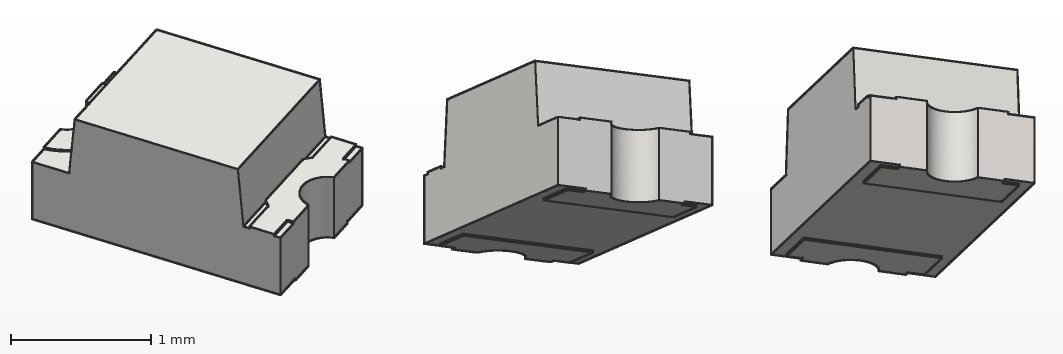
import cadquery as cq

length = 2.0
width = 1.25
height = 1.0
board_thickness = 0.5
pad_thickness = 0.015

notch_radius = 0.2
notch_offset = 0.05

lens_base_length = 1.405
lens_top_length = 1.315

round_pad_radius = 0.45
corner_relief = 0.05
top_pad_length = 0.25
top_pad_edge_width = 0.85
tongue_base_width = 0.67
tongue_length = 0.1
bottom_pad_length = 0.4
bottom_pad_width = 1.05
bottom_pad_edge_width = 0.8

end_x = length / 2
notch_x = end_x + notch_offset
board_bottom = pad_thickness
board_top = board_bottom + board_thickness
pad_top = board_top + pad_thickness


def block(x_min, x_max, y_size, z_min, z_size):
    """Box centred on Y, placed by its X range and lower face."""
    return (
        cq.Workplane("XY", origin=((x_min + x_max) / 2, 0, z_min))
        .rect(x_max - x_min, y_size)
        .extrude(z_size)
    )


def stepped_pad(pad_length, pad_width, edge_width, z_min):
    """Pad at the +X end whose two outer corners are relieved."""
    relief_x = end_x - corner_relief
    body = block(end_x - pad_length, relief_x, pad_width, z_min, pad_thickness)
    edge = block(relief_x, end_x, edge_width, z_min, pad_thickness)
    return body.union(edge)


def make_lens():
    """Full-width lens with drafted ends."""
    base = lens_base_length / 2
    top = lens_top_length / 2
    outline = [(-base, board_top), (base, board_top), (top, height), (-top, height)]
    return cq.Workplane("XZ").polyline(outline).close().extrude(width / 2, both=True)


def make_round_pad():
    """Pad at the -X end, concentric with the notch and trimmed to the board."""
    disc = (
        cq.Workplane("XY", origin=(-notch_x, 0, board_top))
        .circle(round_pad_radius)
        .extrude(pad_thickness)
    )
    return disc.intersect(block(-end_x, end_x, width, board_top, pad_thickness))


def make_top_pad():
    """Pad at the +X end with a 45 degree tapered tongue reaching under the lens."""
    pad = stepped_pad(top_pad_length, width, top_pad_edge_width, board_top)
    root_x = end_x - top_pad_length
    root_y = tongue_base_width / 2
    tip_x = root_x - tongue_length
    tip_y = root_y - tongue_length
    tongue = (
        cq.Workplane("XY", origin=(0, 0, board_top))
        .polyline([(root_x, -root_y), (root_x, root_y), (tip_x, tip_y), (tip_x, -tip_y)])
        .close()
        .extrude(pad_thickness)
    )
    return pad.union(tongue)


def make_notches():
    return (
        cq.Workplane("XY")
        .pushPoints([(-notch_x, 0), (notch_x, 0)])
        .circle(notch_radius)
        .extrude(pad_top)
    )


board = block(-end_x, end_x, width, board_bottom, board_thickness)
bottom_pad = stepped_pad(bottom_pad_length, bottom_pad_width, bottom_pad_edge_width, 0)

result = (
    board.union(make_lens())
    .union(make_round_pad())
    .union(make_top_pad())
    .union(bottom_pad)
    .union(bottom_pad.mirror("YZ"))
    .cut(make_notches())
)